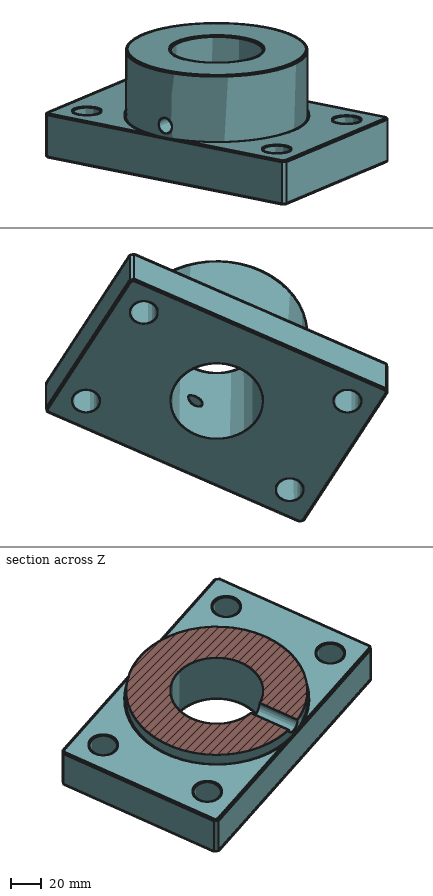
import cadquery as cq

plate_length = 190.0
plate_width = 120.0
plate_height = 30.0
plate_corner_chamfer = 2.0
plate_edge_chamfer = 1.0

total_height = 75.0
boss_radius = 59.0
boss_chamfer = 1.0
bore_radius = 30.0
bore_chamfer = 1.0

groove_width = 1.1

hole_spacing_x = 150.1
hole_spacing_y = 80.0
hole_diameter = 18.0
hole_chamfer = 0.5

port_diameter = 10.5
port_height = 37.6


def make_plate():
    plate = cq.Workplane("XY").box(plate_length, plate_width, plate_height, centered=(True, True, False))
    plate = plate.edges("|Z").chamfer(plate_corner_chamfer)
    return plate.faces("<Z or >Z").edges().chamfer(plate_edge_chamfer)


def cut_mounting_holes(plate):
    return (
        plate.faces(">Z").workplane(origin=(0, 0, plate_height))
        .rarray(hole_spacing_x, hole_spacing_y, 2, 2)
        .cskHole(hole_diameter, hole_diameter + 2 * hole_chamfer, 90)
    )


def make_groove():
    profile = cq.Workplane("XZ").moveTo(boss_radius, plate_height)
    profile = profile.lineTo(boss_radius + groove_width, plate_height)
    profile = profile.lineTo(boss_radius, plate_height - groove_width).close()
    return profile.revolve(360, (0, 0, 0), (0, 1, 0))


def make_boss():
    boss = cq.Workplane("XY").circle(boss_radius).extrude(total_height)
    return boss.faces(">Z").edges().chamfer(boss_chamfer)


def cut_bore(body):
    return body.faces(">Z").workplane(origin=(0, 0, total_height)).cskHole(
        2 * bore_radius, 2 * (bore_radius + bore_chamfer), 90
    )


def make_port():
    port = cq.Workplane("XZ").center(0, port_height).circle(port_diameter / 2)
    return port.extrude(plate_width / 2)


plate = cut_mounting_holes(make_plate()).cut(make_groove())
result = cut_bore(plate.union(make_boss())).cut(make_port())